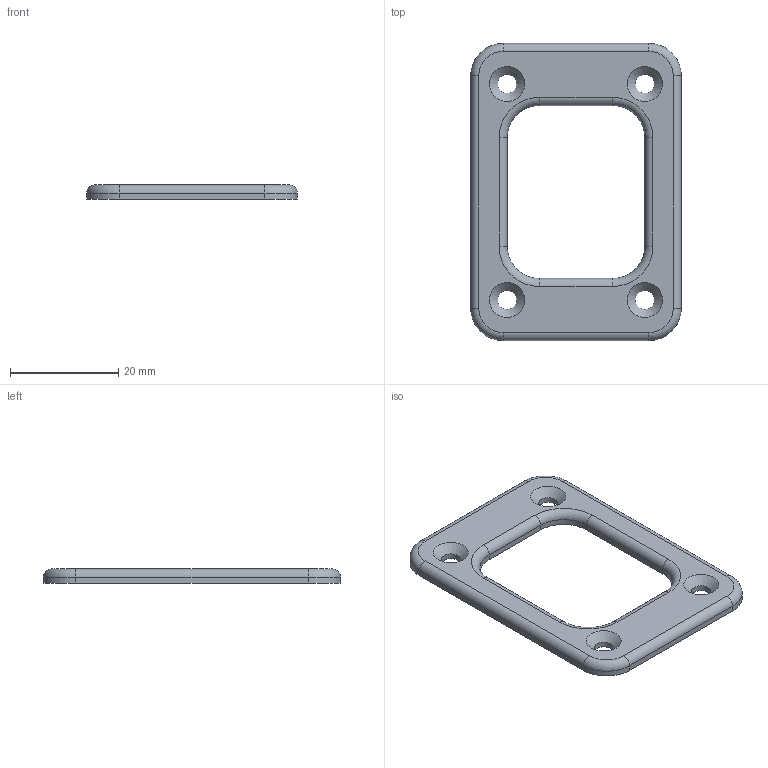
import cadquery as cq

plate_width = 39.0
plate_length = 55.0
plate_thickness = 2.6
plate_corner_radius = 6.0

opening_width = 25.5
opening_length = 32.0
opening_corner_radius = 6.0

top_edge_radius = 1.5

hole_diameter = 3.5
countersink_diameter = 6.5
countersink_angle = 90.0
hole_spacing_x = 25.5
hole_spacing_y = 40.0


def rounded_block(width, length, corner_radius):
    """Block of plate thickness, standing on Z = 0, with rounded upright edges."""
    block = cq.Workplane("XY").rect(width, length).extrude(plate_thickness)
    return block.edges("|Z").fillet(corner_radius)


def make_frame():
    """Plate with its central opening; both top rims are rounded."""
    plate = rounded_block(plate_width, plate_length, plate_corner_radius)
    opening = rounded_block(opening_width, opening_length, opening_corner_radius)
    return plate.cut(opening).faces(">Z").edges().fillet(top_edge_radius)


def add_screw_holes(frame):
    """One countersunk through hole near each corner, entered from the top."""
    return (
        frame.faces(">Z")
        .workplane(origin=(0, 0, plate_thickness))
        .rect(hole_spacing_x, hole_spacing_y, forConstruction=True)
        .vertices()
        .cskHole(hole_diameter, countersink_diameter, countersink_angle)
    )


result = add_screw_holes(make_frame())